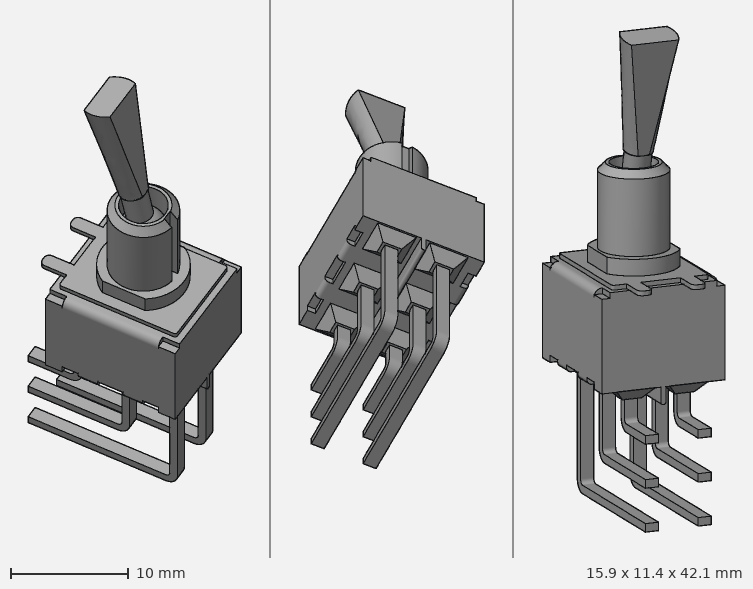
import cadquery as cq
import math


OVERALL_X = 15.9

HOUSING_X = 12.7
HOUSING_Y = 11.42
HOUSING_H = 8.85
SIDE_TAB_X = 9.4
CORNER_STEP_H = 0.5
WALL_STEP = 0.75
TAB_H = 1.25
TOP_TAB_R = 0.7
CORNER_STEP_X = (HOUSING_X - SIDE_TAB_X) / 2
NOTCH_H = 0.65
LIP_X = 1.9
LIP_CENTRE_X = 2.2
LIP_R = 0.45

FIN_T = 0.45
FIN_H = 1.55
FIN_EDGE_R = 0.2

PLATE_X = 11.45
PLATE_Y = 8.95
PLATE_T = 0.42
PLATE_CORNER_R = 0.25
PRONG_REACH = 8.4
PRONG_W = 1.3
PRONG_TIP_R = 0.5
PRONG_Y = 2.5

COLLAR_D = 7.95
COLLAR_FLATS = 6.8
COLLAR_H = 1.48
BUSHING_D = 6.2
BUSHING_H = 7.5
BUSHING_CHAMFER = 0.67
BORE_D = 4.2
KEYWAY_W = 1.0
KEYWAY_FLOOR_X = 2.3

PIN_COLUMNS = 3
PIN_PITCH_X = 4.68
PIN_Y = 2.45
PIN_T = 0.75
PIN_W = 1.22
PIN_END_X = OVERALL_X - HOUSING_X / 2
PIN_FIRST_DROP = 3.9
PIN_ROW_STEP = 3.88
PIN_BEND_R = 0.42
POTTING_TOP_X = 3.05
POTTING_TOP_Y = 3.62
POTTING_TIP_X = 1.2
POTTING_TIP_Y = 1.75
POTTING_H = 1.05

LEVER_TILT = 12.4
PIVOT_DEPTH = 3.05
PADDLE_START = 4.45
PADDLE_END = 15.35
NECK_D = 2.4
PADDLE_ROOT_D = 2.6
PADDLE_ROOT_T = 2.4
PADDLE_TIP_W = 5.0
PADDLE_TIP_FLAT = 4.4
PADDLE_TIP_T = 2.6

PLATE_TOP = HOUSING_H + PLATE_T
COLLAR_TOP = PLATE_TOP + COLLAR_H
BUSHING_TOP = COLLAR_TOP + BUSHING_H
PIVOT_Z = BUSHING_TOP - PIVOT_DEPTH
SIDES = (-1, 1)


def edge_bar(length, height, bottom, side):
    """Bar with the depth of the wall step, along the front or back face."""
    y = side * (HOUSING_Y - WALL_STEP) / 2
    return (
        cq.Workplane("XY", origin=(0, y, bottom))
        .box(length, WALL_STEP, height, centered=(True, True, False))
    )


def outer_edges(bar, side, direction):
    """Long outer edge of a bar, at its top (">Z") or bottom ("<Z")."""
    face = ">Y" if side > 0 else "<Y"
    return bar.faces(face).edges(direction)


def make_block():
    block = cq.Workplane("XY").box(
        HOUSING_X, HOUSING_Y, HOUSING_H, centered=(True, True, False)
    )
    for side in SIDES:
        tab = edge_bar(SIDE_TAB_X, TAB_H, HOUSING_H - TAB_H, side)
        block = block.cut(tab).union(outer_edges(tab, side, ">Z").fillet(TOP_TAB_R))
        step = edge_bar(CORNER_STEP_X, CORNER_STEP_H, HOUSING_H - CORNER_STEP_H, side)
        for end in SIDES:
            block = block.cut(step.translate((end * (HOUSING_X - CORNER_STEP_X) / 2, 0, 0)))

        block = block.cut(edge_bar(SIDE_TAB_X, NOTCH_H, 0, side))
        lip = outer_edges(edge_bar(LIP_X, NOTCH_H, 0, side), side, "<Z").fillet(LIP_R)
        for end in SIDES:
            block = block.union(lip.translate((end * LIP_CENTRE_X, 0, 0)))
    return block


def make_fin():
    return (
        cq.Workplane("XY", origin=(0, 0, -FIN_H))
        .box(HOUSING_X, FIN_T, FIN_H, centered=(True, True, False))
        .faces("<Z").edges("|X").fillet(FIN_EDGE_R)
    )


def make_bracket_plate():
    plate = (
        cq.Workplane("XY", origin=(0, 0, HOUSING_H))
        .box(PLATE_X, PLATE_Y, PLATE_T, centered=(True, True, False))
        .edges("|Z").fillet(PLATE_CORNER_R)
    )
    for side in SIDES:
        prong = (
            cq.Workplane("XY", origin=(-PRONG_REACH, side * PRONG_Y, HOUSING_H))
            .box(PRONG_REACH, PRONG_W, PLATE_T, centered=(False, True, False))
            .edges("|Z and <X").fillet(PRONG_TIP_R)
        )
        plate = plate.union(prong)
    return plate


def make_collar():
    flats = cq.Workplane("XY", origin=(0, 0, PLATE_TOP)).box(
        COLLAR_D, COLLAR_FLATS, COLLAR_H, centered=(True, True, False)
    )
    collar = cq.Workplane("XY", origin=(0, 0, PLATE_TOP)).circle(COLLAR_D / 2).extrude(COLLAR_H)
    return collar.intersect(flats)


def make_bushing():
    bushing = (
        cq.Workplane("XY", origin=(0, 0, COLLAR_TOP))
        .circle(BUSHING_D / 2).extrude(BUSHING_H)
        .faces(">Z").edges().chamfer(BUSHING_CHAMFER)
    )
    keyway = cq.Workplane("XY", origin=(KEYWAY_FLOOR_X, 0, COLLAR_TOP)).box(
        BUSHING_D, KEYWAY_W, BUSHING_H, centered=(False, True, False)
    )
    return bushing.cut(keyway)


def make_ball_socket():
    """Void of the bushing bore, ending in a round seat for the lever ball."""
    bore = cq.Workplane("XY", origin=(0, 0, PIVOT_Z)).circle(BORE_D / 2).extrude(PIVOT_DEPTH)
    return bore.union(make_ball())


def make_ball():
    return cq.Workplane("XY", origin=(0, 0, PIVOT_Z)).sphere(BORE_D / 2)


def make_terminal(x, y, drop):
    """Right-angle pin running down and then towards -X, with its potting cone."""
    right = x + PIN_T / 2
    left = x - PIN_T / 2
    bend_end = left - PIN_BEND_R
    outer_r = PIN_BEND_R + PIN_T
    inner_drop = drop - PIN_T
    corner_z = PIN_BEND_R - inner_drop
    cos45 = math.sqrt(0.5)
    pin = (
        cq.Workplane("XZ", origin=(0, y, 0))
        .moveTo(right, 0)
        .lineTo(right, corner_z)
        .threePointArc(
            (bend_end + outer_r * cos45, corner_z - outer_r * cos45), (bend_end, -drop)
        )
        .lineTo(-PIN_END_X, -drop)
        .lineTo(-PIN_END_X, -inner_drop)
        .lineTo(bend_end, -inner_drop)
        .threePointArc(
            (bend_end + PIN_BEND_R * cos45, corner_z - PIN_BEND_R * cos45), (left, corner_z)
        )
        .lineTo(left, 0)
        .close()
        .extrude(PIN_W / 2, both=True)
    )
    potting = (
        cq.Workplane("XY", origin=(x, y, 0))
        .rect(POTTING_TOP_X, POTTING_TOP_Y)
        .workplane(offset=-POTTING_H)
        .rect(POTTING_TIP_X, POTTING_TIP_Y)
        .loft(ruled=True)
    )
    return pin.union(potting)


def make_housing():
    housing = (
        make_block()
        .union(make_fin())
        .union(make_bracket_plate())
        .union(make_collar())
        .union(make_bushing())
    )
    for column in range(PIN_COLUMNS):
        x = (column - (PIN_COLUMNS - 1) / 2) * PIN_PITCH_X
        drop = PIN_FIRST_DROP + column * PIN_ROW_STEP
        for side in SIDES:
            housing = housing.union(make_terminal(x, side * PIN_Y, drop))
    return housing.cut(make_ball_socket())


def paddle_section(sketch, thickness, width, flat):
    """Section with flat sides across X and bulging ends across Y."""
    return (
        sketch.moveTo(-thickness / 2, -flat / 2)
        .threePointArc((0, -width / 2), (thickness / 2, -flat / 2))
        .lineTo(thickness / 2, flat / 2)
        .threePointArc((0, width / 2), (-thickness / 2, flat / 2))
        .close()
    )


def make_lever():
    neck = (
        cq.Workplane("XY", origin=(0, 0, PIVOT_Z))
        .circle(NECK_D / 2).extrude(PADDLE_START)
    )
    root_flat = math.sqrt(PADDLE_ROOT_D**2 - PADDLE_ROOT_T**2)
    root = paddle_section(
        cq.Workplane("XY", origin=(0, 0, PIVOT_Z + PADDLE_START)),
        PADDLE_ROOT_T, PADDLE_ROOT_D, root_flat,
    )
    paddle = paddle_section(
        root.workplane(offset=PADDLE_END - PADDLE_START),
        PADDLE_TIP_T, PADDLE_TIP_W, PADDLE_TIP_FLAT,
    ).loft(ruled=True)
    upright = make_ball().union(neck).union(paddle)
    return upright.rotate((0, 0, PIVOT_Z), (0, 1, PIVOT_Z), -LEVER_TILT)


housing = make_housing()
lever = make_lever()

result = cq.Compound.makeCompound([housing.solids().val(), lever.solids().val()])